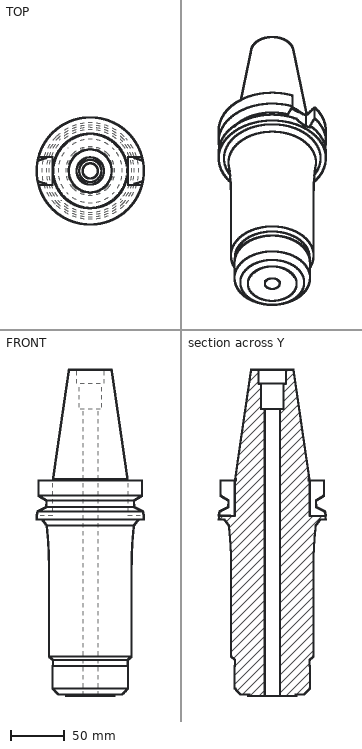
import cadquery as cq
import math

LENGTH = 304.2

TAPER_RATE = 7 / 24
GAUGE_DIAMETER = 69.7
GAUGE_RADIUS = GAUGE_DIAMETER / 2
TAPER_LENGTH = 102.0
TAPER_TOP_RADIUS = GAUGE_RADIUS - TAPER_LENGTH * TAPER_RATE / 2
GAUGE_Z = LENGTH - TAPER_LENGTH
RELIEF_RADIUS = 34.0

FLANGE_DIAMETER = 100.0
FLANGE_RADIUS = FLANGE_DIAMETER / 2
FLANGE_TOP_Z = 201.0
UPPER_LIP_BOTTOM_Z = 186.8
GROOVE_RADIUS = 43.0
GROOVE_TOP_Z = 182.2
GROOVE_BOTTOM_Z = 176.0
LOWER_LIP_TOP_Z = 172.2
LOWER_LIP_BOTTOM_Z = 164.5
UNDER_FLANGE_RADIUS = 45.0

FLARE_RADIUS = 40.8
FLARE_TOP_Z = 159.0
BODY_RADIUS = 38.5
BODY_TOP_Z = 121.7
BODY_BOTTOM_Z = 36.8

NUT_RADIUS = 35.3
NUT_NECK_RADIUS = 35.0
NUT_NECK_TOP_Z = 33.8
NUT_TOP_Z = 28.3
NUT_CHAMFER_Z = 7.3
NUT_FACE_Z = 1.5
NUT_FACE_RADIUS = 29.8
COLLET_NECK_RADIUS = 21.3
COLLET_RADIUS = 22.8

MOUTH_RADIUS = 12.8
MOUTH_DEPTH = 13.0
THREAD_RADIUS = 10.3
THREAD_DEPTH = 36.5
THROUGH_RADIUS = 7.0

SLOT_WIDTH = 26.0
SLOT_FLOOR_X = 35.0
SLOT_BOTTOM_Z = 168.2


def flare_middle():
    """Middle point of the flare arc, which runs tangent into the body."""
    rise = FLARE_TOP_Z - BODY_TOP_Z
    spread = FLARE_RADIUS - BODY_RADIUS
    arc_radius = (rise**2 + spread**2) / (2 * spread)
    half_angle = math.asin(rise / arc_radius) / 2
    radius = BODY_RADIUS + arc_radius * (1 - math.cos(half_angle))
    return radius, BODY_TOP_Z + arc_radius * math.sin(half_angle)


def turned_body():
    profile = (
        cq.Workplane("XZ")
        .moveTo(0, LENGTH)
        .lineTo(TAPER_TOP_RADIUS, LENGTH)
        .lineTo(GAUGE_RADIUS, GAUGE_Z)
        .lineTo(RELIEF_RADIUS, GAUGE_Z)
        .lineTo(RELIEF_RADIUS, FLANGE_TOP_Z)
        .lineTo(FLANGE_RADIUS, FLANGE_TOP_Z)
        .lineTo(FLANGE_RADIUS, UPPER_LIP_BOTTOM_Z)
        .lineTo(GROOVE_RADIUS, GROOVE_TOP_Z)
        .lineTo(GROOVE_RADIUS, GROOVE_BOTTOM_Z)
        .lineTo(FLANGE_RADIUS, LOWER_LIP_TOP_Z)
        .lineTo(FLANGE_RADIUS, LOWER_LIP_BOTTOM_Z)
        .lineTo(UNDER_FLANGE_RADIUS, LOWER_LIP_BOTTOM_Z)
        .lineTo(FLARE_RADIUS, FLARE_TOP_Z)
        .threePointArc(flare_middle(), (BODY_RADIUS, BODY_TOP_Z))
        .lineTo(BODY_RADIUS, BODY_BOTTOM_Z)
        .lineTo(NUT_NECK_RADIUS, NUT_NECK_TOP_Z)
        .lineTo(NUT_NECK_RADIUS, NUT_TOP_Z)
        .lineTo(NUT_RADIUS, NUT_TOP_Z)
        .lineTo(NUT_RADIUS, NUT_CHAMFER_Z)
        .lineTo(NUT_FACE_RADIUS, NUT_FACE_Z)
        .lineTo(COLLET_NECK_RADIUS, NUT_FACE_Z)
        .lineTo(COLLET_RADIUS, 0)
        .lineTo(0, 0)
        .close()
    )
    return profile.revolve(360, (0, 0, 0), (0, 1, 0))


def bore_step(radius, depth):
    """Cylinder cutting down from the small end of the taper."""
    return cq.Workplane("XY").workplane(offset=LENGTH - depth).circle(radius).extrude(depth)


def drive_slot(side):
    """Round-bottomed slot on the +X (side = 1) or -X (side = -1) flank."""
    half_width = SLOT_WIDTH / 2
    arc_center_z = SLOT_BOTTOM_Z + half_width
    slot_depth = FLANGE_RADIUS - SLOT_FLOOR_X
    return (
        cq.Workplane("YZ")
        .workplane(offset=side * SLOT_FLOOR_X)
        .moveTo(-half_width, FLANGE_TOP_Z)
        .lineTo(-half_width, arc_center_z)
        .threePointArc((0, SLOT_BOTTOM_Z), (half_width, arc_center_z))
        .lineTo(half_width, FLANGE_TOP_Z)
        .close()
        .extrude(side * slot_depth)
    )


result = turned_body()
for step_radius, step_depth in (
    (MOUTH_RADIUS, MOUTH_DEPTH),
    (THREAD_RADIUS, THREAD_DEPTH),
    (THROUGH_RADIUS, LENGTH),
):
    result = result.cut(bore_step(step_radius, step_depth))
for flank in (1, -1):
    result = result.cut(drive_slot(flank))